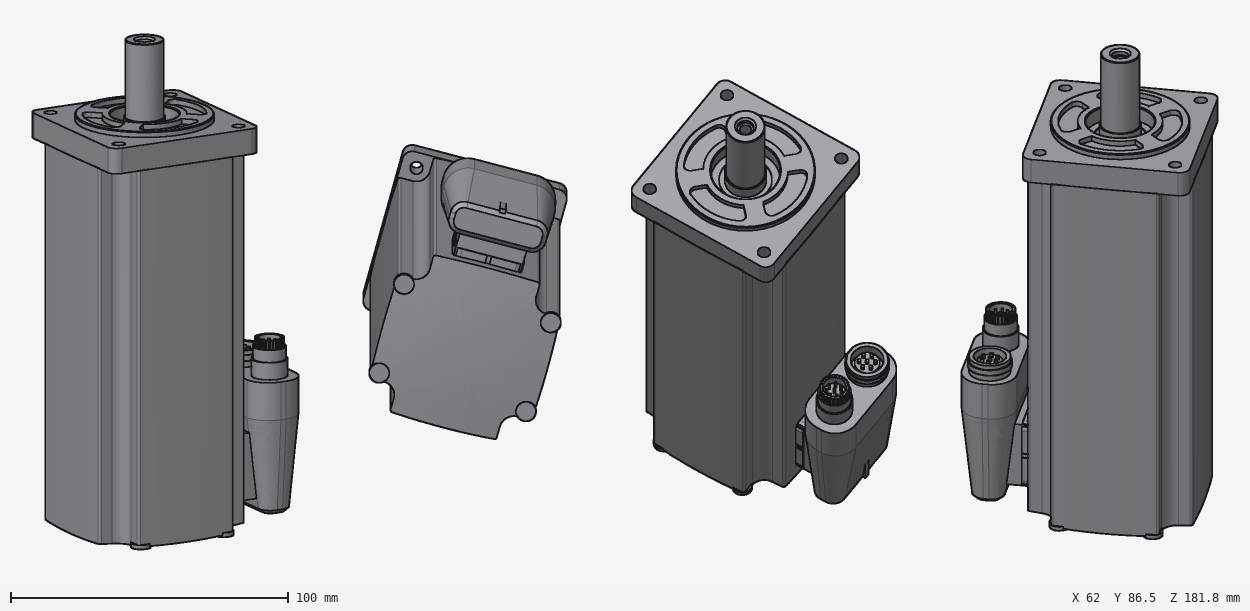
import cadquery as cq
import math


overall_width = 62.0
overall_depth = 86.5
overall_height = 181.8
shaft_top = 29.8
motor_bottom = shaft_top - overall_height

flange_size = 61.0
flange_thickness = 9.5
flange_corner_radius = 3.6
bolt_spacing = 49.6
bolt_diameter = 4.5
pilot_diameter = 50.2
pilot_height = 2.2
pilot_chamfer = 0.4

shaft_diameter = 14.0
shaft_chamfer = 0.27
collar_diameter = 15.0
collar_top = 0.9
seal_bore_diameter = 24.9
seal_bore_bottom = -3.6
shaft_recess_diameter = 19.0
shaft_recess_bottom = -4.0
bore_chamfer = 0.4

centre_cone_diameter = 7.6
centre_recess_diameter = 6.0
centre_recess_depth = 2.2
centre_drill_diameter = 4.2
centre_drill_depth = 10.9

pocket_inner_radius = 15.3
pocket_outer_radius = 22.4
pocket_depth = 2.0
pocket_fillet = 2.4
spoke_width = 7.0

body_half_width = 30.7
bulged_corner = 29.5
notch_wall = 19.8
notch_fillet = 5.0
notch_edge_fillet = 0.9
end_dome_radius = 290.8

pad_diameter = 7.3
pad_x = (overall_width - pad_diameter) / 2
pad_y = 17.0
pad_top = -149.0
pad_bottom = -150.7

housing_length = 41.3
housing_width = 20.2
housing_y = overall_depth - body_half_width - housing_width / 2
housing_end_flat = 2.2
housing_top = -99.0
housing_taper_start = -113.0
housing_bottom = -149.0
tip_length = 35.6
tip_width = 11.6
tip_chamfer = 1.6
fin_width = 2.2
fin_outer = 52.7
fin_inner = 47.3
fin_top = -134.5
fin_bottom = -148.0

foot_z = -131.2
foot_neck_size = 24.9
foot_plate_size = 25.8
foot_plate_outer = 33.6
foot_plate_radius = 2.7
foot_inner = 29.0
foot_groove_width = 1.6
foot_groove_depth = 0.4

socket_offset = 10.5
power_ring_diameter = 16.0
power_sleeve_diameter = 15.0
power_top = -92.9
power_ring_top = -94.5
power_ring_height = 2.2
power_bore_diameter = 11.8
power_bore_depth = 4.5
power_insert_diameter = 9.0
power_insert_height = 2.7
power_pin_diameter = 1.25
power_pin_height = 1.3
power_pin_circle = 5.8
power_pin_count = 6
signal_base_diameter = 13.0
signal_sleeve_diameter = 12.0
signal_knurl_diameter = 10.7
signal_base_top = -92.7
signal_sleeve_top = -88.2
signal_top = -84.9
signal_bore_diameter = 8.4
signal_bore_depth = 3.6
signal_pin_diameter = 0.8
signal_pin_height = 2.4
signal_pin_circle = 5.5
signal_pin_count = 7
knurl_count = 24
knurl_width = 0.5
knurl_depth = 0.4


def cylinder(diameter, bottom, top):
    """Round bar on the Z axis between two heights."""
    return cq.Workplane("XY", origin=(0, 0, bottom)).circle(diameter / 2).extrude(top - bottom)


def block(x_min, x_max, y_min, y_max, z_min, z_max):
    """Box given by its limits."""
    size = (x_max - x_min, y_max - y_min, z_max - z_min)
    return cq.Workplane("XY").box(*size, centered=False).translate((x_min, y_min, z_min))


def make_body():
    """Square body with slightly bulged faces, notched corners and a domed lower end."""
    c = bulged_corner
    b = body_half_width
    body = (
        cq.Workplane("XY", origin=(0, 0, motor_bottom))
        .moveTo(-c, -c)
        .threePointArc((0, -b), (c, -c))
        .threePointArc((b, 0), (c, c))
        .threePointArc((0, b), (-c, c))
        .threePointArc((-b, 0), (-c, -c))
        .close()
        .extrude(-flange_thickness - motor_bottom)
    )
    for x_side in (-1, 1):
        for y_side in (-1, 1):
            size = body_half_width - notch_wall
            centre = notch_wall + size / 2
            notch = (
                cq.Workplane("XY", origin=(x_side * centre, y_side * centre, motor_bottom))
                .rect(size, size)
                .extrude(-motor_bottom)
            )
            inner_edge = cq.selectors.NearestToPointSelector(
                (x_side * notch_wall, y_side * notch_wall, motor_bottom / 2)
            )
            body = body.cut(notch.edges("|Z").edges(inner_edge).fillet(notch_fillet))
    for axis in ("X", "Y"):
        body = body.edges("|Z").edges(f">{axis} or <{axis}").fillet(notch_edge_fillet)
    dome = cq.Workplane("XY").sphere(end_dome_radius).translate((0, 0, motor_bottom + end_dome_radius))
    return body.intersect(dome)


def make_end_pads():
    """Four round pads near the X sides at the lower end of the body."""
    return (
        cq.Workplane("XY", origin=(0, 0, pad_bottom))
        .rect(2 * pad_x, 2 * pad_y, forConstruction=True)
        .vertices()
        .circle(pad_diameter / 2)
        .extrude(pad_top - pad_bottom)
    )


def make_arc_pocket():
    """Tool for one arc pocket on the +X side, with ends parallel to the diagonal spokes."""
    bottom = pilot_height - pocket_depth
    ring = cylinder(2 * pocket_outer_radius, bottom, pilot_height)
    ring = ring.cut(cylinder(2 * pocket_inner_radius, bottom, pilot_height))
    wedge_tip = spoke_width / math.sqrt(2)
    reach = 2 * pocket_outer_radius
    wedge = (
        cq.Workplane("XY", origin=(0, 0, bottom))
        .polyline([(wedge_tip, 0), (reach, reach - wedge_tip), (reach, wedge_tip - reach)])
        .close()
        .extrude(pocket_depth)
    )
    pocket = ring.intersect(wedge)
    return pocket.edges("|Z").edges(">Y or <Y").fillet(pocket_fillet)


def make_flange():
    """Mounting flange with its pilot, seal bore, arc pockets and bolt holes."""
    half = flange_size / 2
    flange = block(-half, half, -half, half, -flange_thickness, 0)
    flange = flange.edges("|Z").fillet(flange_corner_radius)
    pilot = cylinder(pilot_diameter, 0, pilot_height).faces(">Z").chamfer(pilot_chamfer)
    flange = flange.union(pilot)

    flange = flange.cut(cylinder(seal_bore_diameter, seal_bore_bottom, pilot_height))
    bore_rim = cq.selectors.RadiusNthSelector(0)
    flange = flange.faces(">Z").edges("%CIRCLE").edges(bore_rim).chamfer(bore_chamfer)
    flange = flange.cut(cylinder(shaft_recess_diameter, shaft_recess_bottom, pilot_height))

    pocket = make_arc_pocket()
    for quarter in range(4):
        flange = flange.cut(pocket.rotate((0, 0, 0), (0, 0, 1), 90 * quarter))
    bolt_holes = (
        cq.Workplane("XY", origin=(0, 0, -flange_thickness))
        .rect(bolt_spacing, bolt_spacing, forConstruction=True)
        .vertices()
        .circle(bolt_diameter / 2)
        .extrude(flange_thickness)
    )
    return flange.cut(bolt_holes)


def make_shaft():
    """Shaft with its collar and a stepped, countersunk centre hole."""
    shaft = cylinder(shaft_diameter, -flange_thickness, shaft_top).faces(">Z").chamfer(shaft_chamfer)
    shaft = shaft.union(cylinder(collar_diameter, -flange_thickness, collar_top))
    drill_bottom = shaft_top - centre_drill_depth
    drill_radius = centre_drill_diameter / 2
    shaft = shaft.cut(cylinder(centre_drill_diameter, drill_bottom, shaft_top))
    point = cq.Solid.makeCone(0, drill_radius, drill_radius, pnt=cq.Vector(0, 0, drill_bottom - drill_radius))
    shaft = shaft.cut(cq.Workplane(point))
    recess = cylinder(centre_recess_diameter, shaft_top - centre_recess_depth, shaft_top)
    cone_height = (centre_cone_diameter - centre_recess_diameter) / 2
    return shaft.cut(recess).faces(">Z").edges(cq.selectors.RadiusNthSelector(0)).chamfer(cone_height)


def housing_outline(plane, length, width):
    """Rounded rectangle whose ends keep a narrow flat of constant width."""
    x = length / 2
    y = width / 2
    flat = housing_end_flat / 2
    radius = y - flat
    straight = x - radius
    mid_x = straight + radius * math.sqrt(0.5)
    mid_y = flat + radius * math.sqrt(0.5)
    return (
        plane.moveTo(-straight, -y)
        .lineTo(straight, -y)
        .threePointArc((mid_x, -mid_y), (x, -flat))
        .lineTo(x, flat)
        .threePointArc((mid_x, mid_y), (straight, y))
        .lineTo(-straight, y)
        .threePointArc((-mid_x, mid_y), (-x, flat))
        .lineTo(-x, -flat)
        .threePointArc((-mid_x, -mid_y), (-straight, -y))
        .close()
    )


def make_housing():
    """Connector housing: straight upper part, tapered lower part and a small fin at the back."""
    base = cq.Workplane("XY", origin=(0, housing_y, housing_taper_start))
    upper = housing_outline(base, housing_length, housing_width).extrude(housing_top - housing_taper_start)
    tip_plane = housing_outline(base, housing_length, housing_width).workplane(
        offset=housing_bottom - housing_taper_start
    )
    taper = housing_outline(tip_plane, tip_length, tip_width).loft(ruled=True)
    taper = taper.faces("<Z").chamfer(tip_chamfer)
    fin = block(-fin_width / 2, fin_width / 2, fin_inner, fin_outer, fin_bottom, fin_top)
    return upper.union(taper).union(fin)


def make_foot():
    """Square neck and base plate joining the connector housing to the body."""
    def square_bar(size, y_end):
        bar = cq.Workplane("XZ", origin=(0, foot_inner, foot_z)).rect(size, size)
        return bar.extrude(foot_inner - y_end)

    neck = square_bar(foot_neck_size, housing_y)
    plate = square_bar(foot_plate_size, foot_plate_outer).edges("|Y").fillet(foot_plate_radius)
    groove = block(
        -foot_groove_width / 2,
        foot_groove_width / 2,
        foot_inner,
        foot_plate_outer,
        foot_plate_size / 2 - foot_groove_depth,
        foot_plate_size / 2,
    )
    for quarter in range(4):
        turned = groove.rotate((0, 0, 0), (0, 1, 0), 90 * quarter)
        plate = plate.cut(turned.translate((0, 0, foot_z)))
    return neck.union(plate)


def make_pins(diameter, circle, count, bottom, height):
    """Ring of contact pins around one centre pin, standing on the Z axis."""
    pins = cq.Workplane("XY", origin=(0, 0, bottom)).circle(diameter / 2).extrude(height)
    ring = (
        cq.Workplane("XY", origin=(0, 0, bottom))
        .polarArray(circle / 2, 0, 360, count)
        .circle(diameter / 2)
        .extrude(height)
    )
    return pins.union(ring)


def make_power_socket():
    """Wide socket with an outer ring and a pin insert in its bore, on the Z axis."""
    socket = cylinder(power_sleeve_diameter, housing_top, power_top)
    socket = socket.union(cylinder(power_ring_diameter, power_ring_top - power_ring_height, power_ring_top))
    floor = power_top - power_bore_depth
    insert_top = floor + power_insert_height
    socket = socket.cut(cylinder(power_bore_diameter, floor, power_top))
    socket = socket.union(cylinder(power_insert_diameter, floor, insert_top))
    return socket.union(
        make_pins(power_pin_diameter, power_pin_circle, power_pin_count, insert_top, power_pin_height)
    )


def make_signal_socket():
    """Narrow stepped socket with a knurled end and pins in its bore, on the Z axis."""
    socket = cylinder(signal_base_diameter, housing_top, signal_base_top)
    socket = socket.union(cylinder(signal_sleeve_diameter, signal_base_top, signal_sleeve_top))
    knurl = cylinder(signal_knurl_diameter, signal_sleeve_top, signal_top)
    grooves = (
        cq.Workplane("XY", origin=(0, 0, signal_sleeve_top))
        .polarArray(signal_knurl_diameter / 2, 0, 360, knurl_count)
        .rect(2 * knurl_depth, knurl_width)
        .extrude(signal_top - signal_sleeve_top)
    )
    floor = signal_top - signal_bore_depth
    socket = socket.union(knurl.cut(grooves)).cut(cylinder(signal_bore_diameter, floor, signal_top))
    return socket.union(
        make_pins(signal_pin_diameter, signal_pin_circle, signal_pin_count, floor, signal_pin_height)
    )


result = (
    make_body()
    .union(make_end_pads())
    .union(make_flange())
    .union(make_shaft())
    .union(make_foot())
    .union(make_housing())
    .union(make_power_socket().translate((-socket_offset, housing_y, 0)))
    .union(make_signal_socket().translate((socket_offset, housing_y, 0)))
)